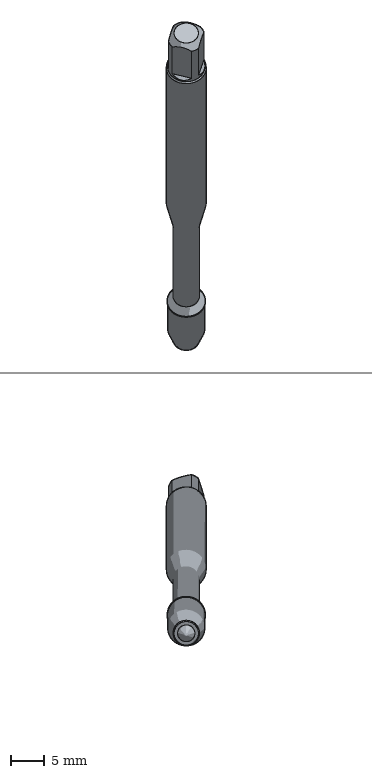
import cadquery as cq

TOTAL_LENGTH = 81.4
POINT_HEIGHT = 1.3
LEAD_BOTTOM = 1.5
LEAD_TOP = 4.3
HEAD_TOP = 11.4
COLLAR_TOP = 11.6
NECK_BOTTOM = 12.9
NECK_TOP = 31.5
TAPER_TOP = 37.1
SHANK_TOP = 72.45
FLATS_BOTTOM = 73.4

SHANK_DIAMETER = 6.0
DRIVE_DIAMETER = 5.6
COLLAR_DIAMETER = 5.8
HEAD_DIAMETER = 5.6
NECK_DIAMETER = 4.0
LEAD_DIAMETER = 4.0
POINT_DIAMETER = 2.6

FLAT_COUNT = 4
SQUARE_WIDTH = 4.7
END_CHAMFER = 1.0
SHOULDER_HEIGHT = 0.25

SHANK_RADIUS = SHANK_DIAMETER / 2
DRIVE_RADIUS = DRIVE_DIAMETER / 2
COLLAR_RADIUS = COLLAR_DIAMETER / 2
HEAD_RADIUS = HEAD_DIAMETER / 2
NECK_RADIUS = NECK_DIAMETER / 2
LEAD_RADIUS = LEAD_DIAMETER / 2
LEAD_CHAMFER = LEAD_BOTTOM - POINT_HEIGHT


def revolve_profile(points):
    """Turn a closed (radius, height) outline about the Z axis."""
    return cq.Workplane("XZ").polyline(points).close().revolve(360, (0, 0), (0, 1))


def flat_cutter():
    """Cutter for the flat on the +X side, with a floor that runs out downward at 45 degrees."""
    flat_distance = SQUARE_WIDTH / 2
    reach = SHANK_DIAMETER
    return (
        cq.Workplane("XZ")
        .polyline([
            (flat_distance, FLATS_BOTTOM),
            (reach, FLATS_BOTTOM - (reach - flat_distance)),
            (reach, TOTAL_LENGTH),
            (flat_distance, TOTAL_LENGTH),
        ])
        .close()
        .extrude(SHANK_RADIUS, both=True)
    )


def make_shank():
    """Conical collar, neck, taper and round shank, ending in a square drive."""
    blank = revolve_profile([
        (0, HEAD_TOP),
        (COLLAR_RADIUS, HEAD_TOP),
        (COLLAR_RADIUS, COLLAR_TOP),
        (NECK_RADIUS, NECK_BOTTOM),
        (NECK_RADIUS, NECK_TOP),
        (SHANK_RADIUS, TAPER_TOP),
        (SHANK_RADIUS, SHANK_TOP),
        (DRIVE_RADIUS, SHANK_TOP + SHOULDER_HEIGHT),
        (DRIVE_RADIUS, TOTAL_LENGTH - END_CHAMFER),
        (DRIVE_RADIUS - END_CHAMFER, TOTAL_LENGTH),
        (0, TOTAL_LENGTH),
    ])
    for side in range(FLAT_COUNT):
        angle = 360 / FLAT_COUNT * side
        blank = blank.cut(flat_cutter().rotate((0, 0, 0), (0, 0, 1), angle))
    return blank


def make_cutting_head():
    """Threading head with a flat back, a tapered lead and a conical point."""
    return revolve_profile([
        (0, 0),
        (POINT_DIAMETER / 2, POINT_HEIGHT),
        (LEAD_RADIUS - LEAD_CHAMFER, POINT_HEIGHT),
        (LEAD_RADIUS, LEAD_BOTTOM),
        (HEAD_RADIUS, LEAD_TOP),
        (HEAD_RADIUS, HEAD_TOP),
        (0, HEAD_TOP),
    ])


shank = make_shank()
cutting_head = make_cutting_head()

result = cq.Compound.makeCompound([shank.val(), cutting_head.val()])